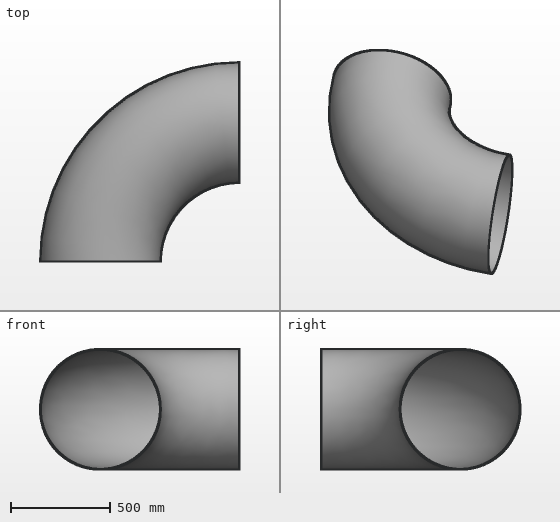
import cadquery as cq

overall_size = 1004.0
outer_diameter = 608.0
wall_thickness = 4.0
bend_angle = 90.0

outer_radius = outer_diameter / 2
inner_radius = outer_radius - wall_thickness
bend_radius = overall_size - outer_radius


def pipe_elbow():
    """Ring section revolved about the vertical bend axis, which lies on Z."""
    ring = cq.Workplane("XZ").center(-bend_radius, 0).circle(outer_radius).circle(inner_radius)
    axis_start = (bend_radius, 0)
    axis_end = (bend_radius, -1)
    return ring.revolve(bend_angle, axis_start, axis_end)


result = pipe_elbow()